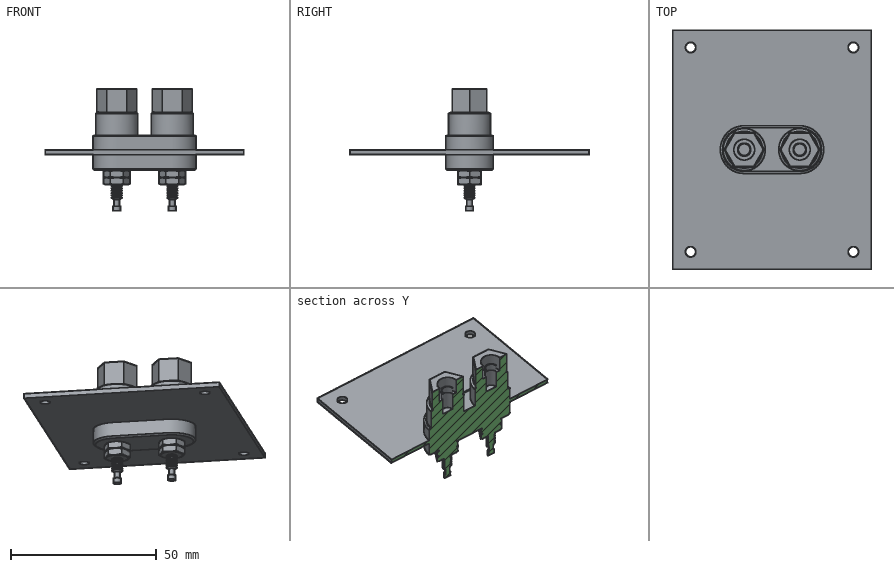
import cadquery as cq
import math

plate_width = 68.1
plate_length = 82.0
plate_thickness = 1.6
plate_hole_diameter = 3.45
plate_hole_spacing_x = 55.75
plate_hole_spacing_y = 70.0

post_spacing = 19.0

base_width = 16.4
upper_base_height = 5.0
lower_base_height = 5.4
base_bevel_width = 0.7
upper_bevel_height = 0.3
lower_bevel_height = 0.6

total_height = 41.9
post_top = 22.6
collar_diameter = 14.4
collar_top = 14.5
collar_bevel_width = 0.9
collar_bevel_height = 0.5
head_across_flats = 11.9
head_bevel = 0.25
socket_diameter = 7.1
socket_depth = 5.7
sleeve_diameter = 4.5
sleeve_bore_diameter = 4.0
sleeve_recess = 2.9
sleeve_bore_depth = 12.3

nut_count = 2
nut_across_flats = 7.95
nut_height = 2.5
nut_bevel_width = 0.8
nut_bevel_height = 0.3

thread_diameter = 3.6
thread_root_diameter = 2.6
thread_pitch = 0.8
thread_ridges = 6
thread_end_taper = 0.6
neck_diameter = 2.0
tip_diameter = 2.6
tip_length = 1.6

base_top = plate_thickness + upper_base_height
base_bottom = -lower_base_height
nuts_bottom = base_bottom - nut_count * nut_height
stud_bottom = post_top - total_height


def corner_diameter(across_flats):
    """Diameter through the corners of a hexagon."""
    return across_flats / math.cos(math.pi / 6)


def make_plate():
    plate = cq.Workplane("XY").box(
        plate_width, plate_length, plate_thickness, centered=(True, True, False)
    )
    return (
        plate.faces(">Z").workplane()
        .rect(plate_hole_spacing_x, plate_hole_spacing_y, forConstruction=True)
        .vertices().hole(plate_hole_diameter)
    )


def make_bases():
    """Oval block through the plate, bevelled around both outer faces."""
    block = (
        cq.Workplane("XY").workplane(offset=base_bottom)
        .slot2D(post_spacing + base_width, base_width)
        .extrude(base_top - base_bottom)
    )
    return (
        block.faces(">Z").chamfer(upper_bevel_height, base_bevel_width)
        .faces("<Z").chamfer(lower_bevel_height, base_bevel_width)
    )


def cylinder(diameter, bottom, top):
    return cq.Workplane("XY").workplane(offset=bottom).circle(diameter / 2).extrude(top - bottom)


def make_cap():
    """Collar and hexagonal head, with a bored contact sleeve inside a round socket."""
    collar = cylinder(collar_diameter, base_top, collar_top)
    collar = collar.faces(">Z").chamfer(collar_bevel_height, collar_bevel_width)
    head = (
        cq.Workplane("XY").workplane(offset=collar_top)
        .polygon(6, corner_diameter(head_across_flats)).extrude(post_top - collar_top)
        .faces(">Z").chamfer(head_bevel)
    )
    socket = cylinder(socket_diameter, post_top - socket_depth, post_top)
    sleeve = cylinder(sleeve_diameter, post_top - socket_depth, post_top - sleeve_recess)
    bore = cylinder(sleeve_bore_diameter, post_top - sleeve_bore_depth, post_top)
    return collar.union(head).cut(socket).union(sleeve).cut(bore)


def make_nut(bottom):
    """Hexagonal nut whose corners are trimmed by a bevelled disc."""
    corners = corner_diameter(nut_across_flats)
    hexagon = cq.Workplane("XY").workplane(offset=bottom).polygon(6, corners).extrude(nut_height)
    disc = cylinder(corners, bottom, bottom + nut_height)
    for end_face in (">Z", "<Z"):
        disc = disc.faces(end_face).chamfer(nut_bevel_height, nut_bevel_width)
    return hexagon.intersect(disc)


def make_stud():
    """Revolved stud: ring-shaped thread ridges, tapered neck and solder tip."""
    ridge = thread_diameter / 2
    root = thread_root_diameter / 2
    neck = neck_diameter / 2
    tip = tip_diameter / 2
    tip_top = stud_bottom + tip_length

    profile = [(0, base_bottom), (root, base_bottom)]
    for index in range(thread_ridges):
        groove_level = nuts_bottom - index * thread_pitch
        profile.append((root, groove_level))
        profile.append((ridge, groove_level - thread_pitch / 2))
    thread_end = nuts_bottom - (thread_ridges - 0.5) * thread_pitch
    profile += [
        (neck, thread_end - thread_end_taper),
        (neck, tip_top),
        (tip, tip_top),
        (tip, stud_bottom),
        (0, stud_bottom),
    ]
    return cq.Workplane("XZ").polyline(profile).close().revolve(360, (0, 0, 0), (0, 1, 0))


def make_post():
    post = make_cap().union(make_stud())
    for index in range(nut_count):
        post = post.union(make_nut(base_bottom - (index + 1) * nut_height))
    return post


result = make_plate().union(make_bases())
post = make_post()
for side in (-1, 1):
    result = result.union(post.translate((side * post_spacing / 2, 0, 0)))